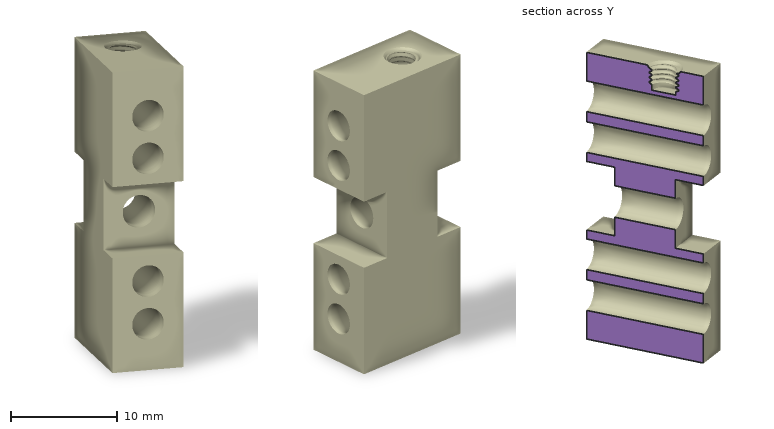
import cadquery as cq
import math

width = 12.4
thickness = 7.0
height = 29.48
waist_width = 6.5
waist_height = 7.0

end_hole_diameter = 3.1
waist_hole_diameter = 3.18
inner_hole_offset = 6.0
outer_hole_offset = 10.2

thread_x = -2.0
minor_diameter = 2.48
major_diameter = 3.07
thread_pitch = 0.5
thread_hole_depth = 2.5
countersink_diameter = 3.6
ledge_diameter = 3.12
thread_start_height = 0.38
thread_start_angle = 90.0
bore_overlap = 0.05


def waisted_block():
    """Solid block with a notch across each X side at mid height."""
    block = cq.Workplane("XY").box(width, thickness, height)
    notch_depth = (width - waist_width) / 2
    for side in (-1, 1):
        notch = cq.Workplane("XY").box(notch_depth, thickness, waist_height)
        block = block.cut(notch.translate((side * (width - notch_depth) / 2, 0, 0)))
    return block


def cross_hole(diameter, z):
    """Cylinder through the full width along X."""
    return cq.Workplane("YZ", origin=(-width / 2, 0, z)).circle(diameter / 2).extrude(width)


def thread_bore():
    """Flat-bottomed bore with a 45 degree countersink down to a flat ledge, mouth at Z = 0."""
    minor_radius = minor_diameter / 2
    mouth_radius = countersink_diameter / 2
    ledge_radius = ledge_diameter / 2
    countersink_depth = mouth_radius - ledge_radius
    return (
        cq.Workplane("XZ")
        .moveTo(0, 0)
        .lineTo(mouth_radius, 0)
        .lineTo(ledge_radius, -countersink_depth)
        .lineTo(minor_radius, -countersink_depth)
        .lineTo(minor_radius, -thread_hole_depth)
        .lineTo(0, -thread_hole_depth)
        .close()
        .revolve(360, (0, 0, 0), (0, 1, 0))
    )


def thread_groove():
    """Helical 60 degree V groove with a flat root, starting just above the bore floor."""
    inner_radius = minor_diameter / 2 - bore_overlap
    outer_radius = major_diameter / 2
    root_half_width = thread_pitch / 8 / 2
    flank_rise = (outer_radius - inner_radius) * math.tan(math.radians(30))
    mouth_half_width = root_half_width + flank_rise
    start_z = thread_start_height - thread_hole_depth
    helix = cq.Wire.makeHelix(thread_pitch, -start_z, inner_radius, center=cq.Vector(0, 0, start_z))
    return (
        cq.Workplane("XZ")
        .moveTo(inner_radius, start_z - mouth_half_width)
        .lineTo(outer_radius, start_z - root_half_width)
        .lineTo(outer_radius, start_z + root_half_width)
        .lineTo(inner_radius, start_z + mouth_half_width)
        .close()
        .sweep(cq.Workplane(helix), isFrenet=True)
        .rotate((0, 0, 0), (0, 0, 1), thread_start_angle)
    )


result = waisted_block()

result = result.cut(cross_hole(waist_hole_diameter, 0))
for side in (-1, 1):
    for offset in (inner_hole_offset, outer_hole_offset):
        result = result.cut(cross_hole(end_hole_diameter, side * offset))

thread_mouth = (thread_x, 0, height / 2)
result = result.cut(thread_bore().translate(thread_mouth))
result = result.cut(thread_groove().translate(thread_mouth))